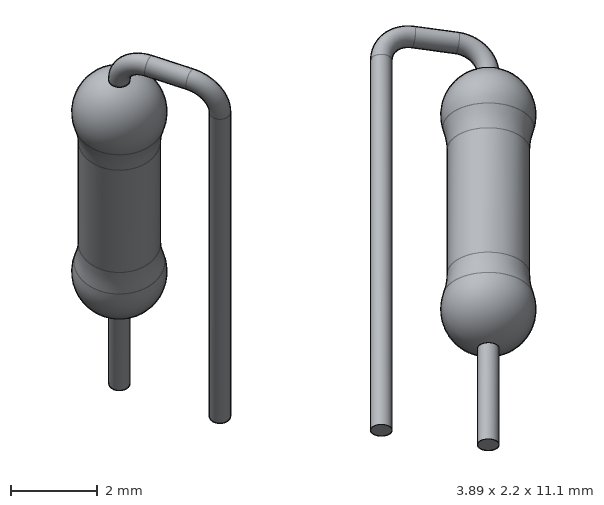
import cadquery as cq
import math


lead_diameter = 0.5
lead_pitch = 2.54
lead_bend_radius = 0.75

core_diameter = 1.9
end_ball_diameter = 2.2
neck_fillet_radius = 2.0
body_bottom_z = 2.6
body_length = 7.5

ball_radius = end_ball_diameter / 2
core_radius = core_diameter / 2
lead_radius = lead_diameter / 2
body_top_z = body_bottom_z + body_length
lower_ball_z = body_bottom_z + ball_radius
upper_ball_z = body_top_z - ball_radius

neck_center_radius = core_radius + neck_fillet_radius
center_distance = ball_radius + neck_fillet_radius
neck_end_offset = math.sqrt(center_distance**2 - neck_center_radius**2)
neck_start_radius = neck_center_radius * ball_radius / center_distance
neck_start_offset = neck_end_offset * ball_radius / center_distance

neck_half_angle = math.atan2(neck_end_offset, neck_center_radius) / 2
neck_mid_radius = neck_center_radius - neck_fillet_radius * math.cos(neck_half_angle)
neck_mid_offset = neck_end_offset - neck_fillet_radius * math.sin(neck_half_angle)


def make_body():
    """Revolve the half profile: ball, neck, core cylinder, neck, ball."""
    return (
        cq.Workplane("XZ")
        .moveTo(0, body_bottom_z)
        .threePointArc(
            (ball_radius, lower_ball_z),
            (neck_start_radius, lower_ball_z + neck_start_offset),
        )
        .threePointArc(
            (neck_mid_radius, lower_ball_z + neck_mid_offset),
            (core_radius, lower_ball_z + neck_end_offset),
        )
        .lineTo(core_radius, upper_ball_z - neck_end_offset)
        .threePointArc(
            (neck_mid_radius, upper_ball_z - neck_mid_offset),
            (neck_start_radius, upper_ball_z - neck_start_offset),
        )
        .threePointArc((ball_radius, upper_ball_z), (0, body_top_z))
        .close()
        .revolve(360, (0, 0), (0, 1))
    )


def make_lead():
    """Sweep the wire up through the body, over two quarter bends and back down."""
    bridge_z = body_top_z + lead_bend_radius
    bend_mid_rise = lead_bend_radius * math.sin(math.pi / 4)
    bend_mid_inset = lead_bend_radius - bend_mid_rise
    bend_mid_z = body_top_z + bend_mid_rise
    path = (
        cq.Workplane("XZ")
        .lineTo(0, body_top_z)
        .threePointArc((bend_mid_inset, bend_mid_z), (lead_bend_radius, bridge_z))
        .lineTo(lead_pitch - lead_bend_radius, bridge_z)
        .threePointArc((lead_pitch - bend_mid_inset, bend_mid_z), (lead_pitch, body_top_z))
        .lineTo(lead_pitch, 0)
    )
    return cq.Workplane("XY").circle(lead_radius).sweep(path)


result = make_body().union(make_lead())